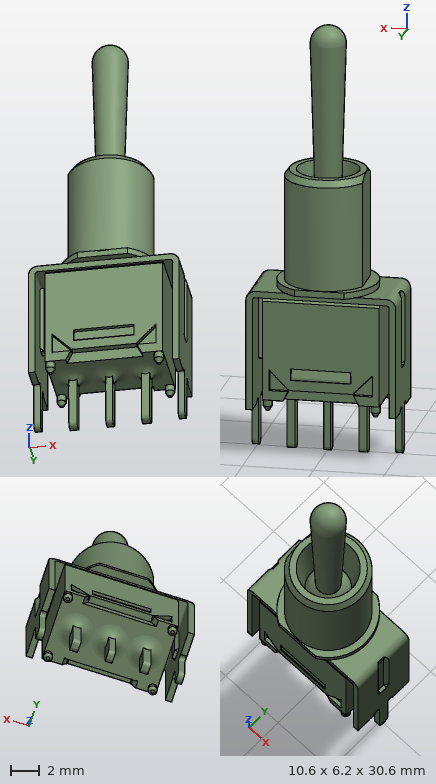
import cadquery as cq
import math

top_z = 18.75
bottom_z = -11.88

bracket_length = 10.55
bracket_width = 5.08
sheet = 0.45
bend_radius = 0.67
bracket_side_z = -8.57
leg_width = 0.85
leg_end_z = -11.8
leg_end_radius = 0.4
relief_radius = 0.23
relief_depth = 0.28

bead_width = 1.05
bead_floor_width = 0.58
bead_depth = 0.28
bead_bulge = 0.25
bead_top_z = -0.2
bead_bottom_z = -5.55

washer_radius = 3.55
washer_across_flats = 6.2
washer_height = 0.45
bushing_radius = 3.03
bushing_flat_x = -2.7
bushing_top_z = 8.4
bushing_chamfer = 0.35
bushing_chamfer_height = 0.45
bore_top_radius = 2.2
bore_bottom_radius = 1.55
bore_bottom_z = 4.3

lever_tip_radius = 1.25
lever_neck_radius = 0.85
pivot_ball_radius = 1.65

body_length = 8.25
body_width = bracket_width
body_top_z = -sheet
body_bottom_z = -7.8
body_top_chamfer = 0.2
panel_half_length = 3.65
panel_bottom_z = -7.0
panel_bottom_half_length = 2.27
corner_pocket_top_z = -5.6
corner_pocket_bottom_z = -7.1
corner_pocket_depth = 0.28
throat_top_half_length = 2.35
throat_bottom_half_length = 2.65
throat_depth = 0.5

window_length = 4.23
window_top_z = -5.45
window_slope_end_z = -6.12
window_bottom_z = -6.28
window_depth = 0.28
window_lip_depth = 0.05

post_diameter = 0.65
post_radius = post_diameter / 2
post_shoulder_z = -8.27
post_tip_z = -8.6
post_tip_radius = 0.12

collar_radius = 1.3
collar_middle_radius = 0.58
collar_middle_z = -8.08
collar_tip_radius = 0.25
collar_tip_z = -8.5
terminal_pitch = 2.55
terminal_width = 0.85
outer_terminal_thickness = 0.58
middle_terminal_thickness = 0.5
terminal_end_radius = 0.3

overlap = 0.1


def box(length, width, low_z, high_z, x=0.0):
    """Box centred on (x, 0) between two heights."""
    return cq.Workplane("XY", origin=(x, 0, low_z)).rect(length, width).extrude(high_z - low_z)


def prism_along_y(points, start_y, end_y):
    """XZ outline extruded from start_y to end_y."""
    return cq.Workplane("XZ", origin=(0, start_y, 0)).polyline(points).close().extrude(start_y - end_y)


def both_sides(shape, plane):
    """Shape together with its mirror image."""
    return shape.union(shape.mirror(plane))


def bead(outer_x, floor_x, high_z):
    """Tapered bar on the -X side from outer_x in to floor_x, with its lower corners cut off."""
    profile = [
        (outer_x, -bead_width / 2),
        (floor_x, -bead_floor_width / 2),
        (floor_x, bead_floor_width / 2),
        (outer_x, bead_width / 2),
    ]
    bar = cq.Workplane("XY", origin=(0, 0, bead_bottom_z)).polyline(profile).close()
    bar = bar.extrude(high_z - bead_bottom_z)
    corner_z = bead_bottom_z + (bead_width - bead_floor_width) / 2
    outline = [
        (-bead_width / 2, high_z),
        (-bead_width / 2, corner_z),
        (-bead_floor_width / 2, bead_bottom_z),
        (bead_floor_width / 2, bead_bottom_z),
        (bead_width / 2, corner_z),
        (bead_width / 2, high_z),
    ]
    side_shape = cq.Workplane("YZ", origin=(outer_x, 0, 0)).polyline(outline).close()
    return bar.intersect(side_shape.extrude(floor_x - outer_x))


def make_bracket():
    half_length = bracket_length / 2
    inner_x = half_length - sheet
    strip = box(bracket_length, bracket_width, bracket_side_z, 0).edges("|Y and >Z").fillet(bend_radius)
    inside = box(2 * inner_x, bracket_width, bracket_side_z, -sheet)
    strip = strip.cut(inside.edges("|Y and >Z").fillet(bend_radius - sheet))

    for side in (-1, 1):
        leg_x = side * (half_length - sheet / 2)
        leg = box(sheet, leg_width, leg_end_z, bracket_side_z + relief_depth, leg_x)
        leg = leg.edges("|X and <Z").fillet(leg_end_radius)
        reliefs = (
            cq.Workplane("YZ", origin=(leg_x - sheet / 2, 0, 0))
            .pushPoints([(edge * (leg_width / 2 + relief_radius), bracket_side_z) for edge in (-1, 1)])
            .slot2D(2 * relief_depth, 2 * relief_radius, 90)
            .extrude(sheet)
        )
        strip = strip.cut(reliefs).union(leg)

    bulge = bead(-inner_x - overlap, -inner_x + bead_bulge, -sheet)
    groove = bead(-half_length, -half_length + bead_depth, bead_top_z)
    return strip.union(both_sides(bulge, "YZ")).cut(both_sides(groove, "YZ"))


def make_bushing():
    washer = cq.Workplane("XY").circle(washer_radius).extrude(washer_height)
    washer = washer.intersect(box(2 * washer_radius, washer_across_flats, 0, washer_height))
    profile = [
        (0, 0),
        (bushing_radius, 0),
        (bushing_radius, bushing_top_z - bushing_chamfer_height),
        (bushing_radius - bushing_chamfer, bushing_top_z),
        (bore_top_radius, bushing_top_z),
        (bore_bottom_radius, bore_bottom_z),
        (0, bore_bottom_z),
    ]
    barrel = cq.Workplane("XZ").polyline(profile).close().revolve(360, (0, 0), (0, 1))
    kept_length = bushing_radius - bushing_flat_x
    barrel = barrel.intersect(
        box(kept_length, 2 * bushing_radius, 0, bushing_top_z, bushing_flat_x + kept_length / 2)
    )
    return washer.union(barrel)


def make_lever():
    tip_z = top_z - lever_tip_radius
    arc_offset = lever_tip_radius * math.sqrt(0.5)
    stick = (
        cq.Workplane("XZ")
        .moveTo(0, bore_bottom_z)
        .lineTo(lever_neck_radius, bore_bottom_z)
        .lineTo(lever_tip_radius, tip_z)
        .threePointArc((arc_offset, tip_z + arc_offset), (0, top_z))
        .close()
        .revolve(360, (0, 0), (0, 1))
    )
    ball = cq.Workplane("XY", origin=(0, 0, bore_bottom_z)).sphere(pivot_ball_radius)
    return stick.union(ball)


def face_cuts():
    """Material removed from the -Y face of the housing."""
    face_y = -body_width / 2
    corner = prism_along_y(
        [
            (-panel_half_length, corner_pocket_top_z),
            (-panel_bottom_half_length, panel_bottom_z),
            (-throat_top_half_length, corner_pocket_bottom_z),
            (-panel_half_length, corner_pocket_bottom_z),
        ],
        face_y,
        face_y + corner_pocket_depth,
    )
    throat = prism_along_y(
        [
            (-panel_bottom_half_length, panel_bottom_z),
            (panel_bottom_half_length, panel_bottom_z),
            (throat_bottom_half_length, body_bottom_z),
            (-throat_bottom_half_length, body_bottom_z),
        ],
        face_y,
        face_y + throat_depth,
    )
    window = (
        cq.Workplane("YZ", origin=(-window_length / 2, 0, 0))
        .polyline(
            [
                (face_y, window_top_z),
                (face_y + window_depth, window_top_z),
                (face_y + window_lip_depth, window_slope_end_z),
                (face_y + window_lip_depth, window_bottom_z),
                (face_y, window_bottom_z),
            ]
        )
        .close()
        .extrude(window_length)
    )
    return both_sides(corner, "YZ").union(throat).union(window)


def make_post(x, y):
    post = cq.Workplane("XY", origin=(x, y, body_bottom_z)).circle(post_radius)
    post = post.extrude(post_shoulder_z - body_bottom_z)
    tip = (
        cq.Workplane("XY", origin=(x, y, post_shoulder_z))
        .circle(post_radius)
        .workplane(offset=post_tip_z - post_shoulder_z)
        .circle(post_tip_radius)
        .loft()
    )
    return post.union(tip)


def make_housing():
    body = box(body_length, body_width, body_bottom_z, body_top_z)
    body = body.edges("|X and >Z").chamfer(body_top_chamfer)
    body = body.cut(both_sides(face_cuts(), "XZ"))
    for x_side in (-1, 1):
        for y_side in (-1, 1):
            x = x_side * (body_length / 2 - post_radius)
            y = y_side * (body_width / 2 - post_radius)
            body = body.union(make_post(x, y))
    return body


def make_terminal(x, thickness):
    """Flat terminal with a collar of resin that creeps up its root."""
    blade = box(thickness, terminal_width, bottom_z, body_bottom_z, x)
    blade = blade.edges("|X and <Z").fillet(terminal_end_radius)
    collar = (
        cq.Workplane("XZ", origin=(x, 0, 0))
        .moveTo(0, body_bottom_z)
        .lineTo(collar_radius, body_bottom_z)
        .threePointArc((collar_middle_radius, collar_middle_z), (collar_tip_radius, collar_tip_z))
        .lineTo(0, collar_tip_z)
        .close()
        .revolve(360, (0, 0), (0, 1))
    )
    return blade.union(collar)


result = make_bracket().union(make_bushing()).union(make_lever()).union(make_housing())
result = result.union(make_terminal(0, middle_terminal_thickness))
for side in (-1, 1):
    result = result.union(make_terminal(side * terminal_pitch, outer_terminal_thickness))